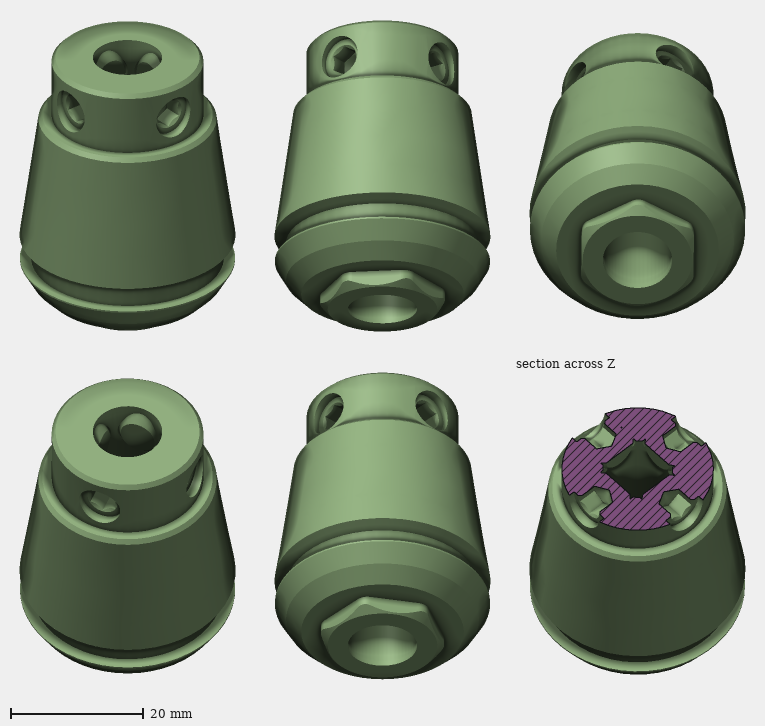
import cadquery as cq
import math

total_height = 43.0
hex_height = 2.55
rim_bottom = 7.75
rim_top = 8.0
sleeve_bottom = 12.0
sleeve_top = 33.0

collar_diameter = 23.0
sleeve_top_diameter = 27.0
sleeve_bottom_diameter = 32.72
groove_diameter = 29.2
rim_diameter = 32.6

edge_chamfer = 0.6
bevel_angle = 30.0
base_bevel_height = 2.3

bore_diameter = 10.5

hex_across_flats = 17.0
hex_corner_radius = 2.0
hex_end_diameter = 16.6

screw_count = 4
screw_height = 37.7
screw_hole_diameter = 6.65
screw_diameter = 8.0
screw_tip_diameter = 5.5
screw_tip_distance = 4.0
screw_head_distance = 10.0
socket_across_flats = 4.0
socket_chamfer_diameter = 4.8
socket_depth = 3.0
socket_cone_angle = 30.0

half_corner_angle = 30.0

bevel_slope = math.tan(math.radians(bevel_angle))


def hexagon_corner_diameter(across_flats):
    """Circle through the corners of a regular hexagon."""
    return across_flats / math.cos(math.radians(half_corner_angle))


def turned_body():
    """Collar, tapered sleeve, groove and flange as one revolved profile."""
    collar_radius = collar_diameter / 2
    shoulder_radius = sleeve_top_diameter / 2
    sleeve_radius = sleeve_bottom_diameter / 2
    groove_radius = groove_diameter / 2
    rim_radius = rim_diameter / 2
    groove_top = sleeve_bottom - bevel_slope * (sleeve_radius - groove_radius)
    base_bevel_top = hex_height + base_bevel_height
    outline = [
        (0, hex_height),
        (groove_radius - base_bevel_height, hex_height),
        (groove_radius, base_bevel_top),
        (rim_radius, rim_bottom),
        (rim_radius, rim_top),
        (groove_radius, rim_top),
        (groove_radius, groove_top),
        (sleeve_radius, sleeve_bottom),
        (shoulder_radius, sleeve_top - edge_chamfer),
        (shoulder_radius - edge_chamfer, sleeve_top),
        (collar_radius, sleeve_top),
        (collar_radius, total_height - edge_chamfer),
        (collar_radius - edge_chamfer, total_height),
        (0, total_height),
    ]
    return cq.Workplane("XZ").polyline(outline).close().revolve(360, (0, 0), (0, 1))


def hex_foot():
    """Rounded hexagon with flats facing +-Y and its lower corners turned to a cone."""
    prism = (
        cq.Workplane("XY")
        .polygon(6, hexagon_corner_diameter(hex_across_flats))
        .extrude(hex_height)
        .edges("|Z")
        .fillet(hex_corner_radius)
    )
    end_radius = hex_end_diameter / 2
    cone = cq.Workplane(cq.Solid.makeCone(end_radius, end_radius + hex_height, hex_height))
    return prism.intersect(cone)


def along_screw(distance):
    """Workplane square to the -Y screw axis at a distance from the body axis, normal inward."""
    return cq.Workplane(cq.Plane((0, -distance, screw_height), (1, 0, 0), (0, 1, 0)))


def screw_hole():
    """Cross hole from the outside of the collar to the body axis."""
    collar_radius = collar_diameter / 2
    return along_screw(collar_radius).circle(screw_hole_diameter / 2).extrude(collar_radius)


def set_screw():
    """Flat-point set screw with a drilled hexagonal socket."""
    length = screw_head_distance - screw_tip_distance
    tip_chamfer = (screw_diameter - screw_tip_diameter) / 2
    screw = (
        along_screw(screw_head_distance)
        .circle(screw_diameter / 2)
        .extrude(length)
        .faces(">Y")
        .chamfer(tip_chamfer)
    )
    return screw.cut(screw_socket())


def screw_socket():
    """Hexagon with two upright flats, a conical entry and a conical bottom."""
    inward = cq.Vector(0, 1, 0)
    mouth = cq.Vector(0, -screw_head_distance, screw_height)
    entry_radius = socket_chamfer_diameter / 2
    drill_radius = socket_across_flats / 2
    hexagon = (
        along_screw(screw_head_distance)
        .transformed(rotate=(0, 0, half_corner_angle))
        .polygon(6, hexagon_corner_diameter(socket_across_flats))
        .extrude(socket_depth)
    )
    entry = cq.Solid.makeCone(entry_radius, 0, entry_radius, mouth, inward)
    drill_depth = drill_radius * math.tan(math.radians(socket_cone_angle))
    drill = cq.Solid.makeCone(drill_radius, 0, drill_depth, mouth + inward * socket_depth, inward)
    return hexagon.union(cq.Workplane(entry)).union(cq.Workplane(drill))


def around_collar(feature, index):
    """Copy of a -Y side feature turned to the given side of the collar."""
    return feature.rotate((0, 0, 0), (0, 0, 1), index * 360 / screw_count)


bore = cq.Workplane("XY").circle(bore_diameter / 2).extrude(total_height)
result = turned_body().union(hex_foot()).cut(bore)

hole = screw_hole()
screw = set_screw()
for side in range(screw_count):
    result = result.cut(around_collar(hole, side))
for side in range(screw_count):
    result = result.union(around_collar(screw, side))